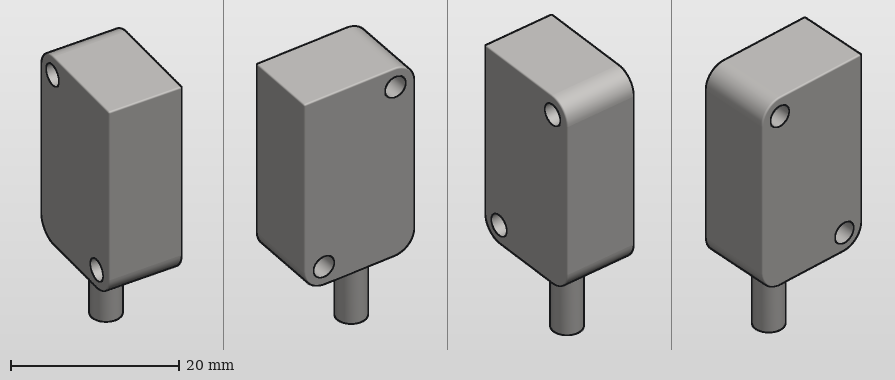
import cadquery as cq

total_height = 37.8
cable_length = 10.0
body_width = 16.0
body_depth = 10.2
body_height = total_height - cable_length

corner_radius = 3.0
edge_break = 0.23

hole_diameter = 3.0
side_inset = 2.85
end_inset = 2.75

cable_diameter = 4.1
cable_from_left = 6.0
cable_y_offset = 0.4
cable_overlap = 0.75


def make_body():
    """Housing with three large round corners and every remaining sharp edge softened."""
    body = cq.Workplane("XY").box(body_width, body_depth, body_height, centered=(True, True, False))
    body = body.edges("|Y and (<X or <Z)").fillet(corner_radius)
    rims = body.faces("<Y or >Y").edges()
    top_right_edge = body.faces(">X").edges(">Z")
    return rims.add(top_right_edge).fillet(edge_break)


def make_holes():
    """Through holes along Y at the upper left and lower right corners."""
    x = body_width / 2 - side_inset
    centers = [(-x, body_height - end_inset), (x, end_inset)]
    return (
        cq.Workplane("XZ")
        .pushPoints(centers)
        .circle(hole_diameter / 2)
        .extrude(body_depth, both=True)
    )


def make_cable():
    """Round cable stub, starting slightly inside the housing."""
    return (
        cq.Workplane("XY")
        .workplane(offset=-cable_length)
        .center(cable_from_left - body_width / 2, cable_y_offset)
        .circle(cable_diameter / 2)
        .extrude(cable_length + cable_overlap)
    )


result = make_body().cut(make_holes()).union(make_cable())